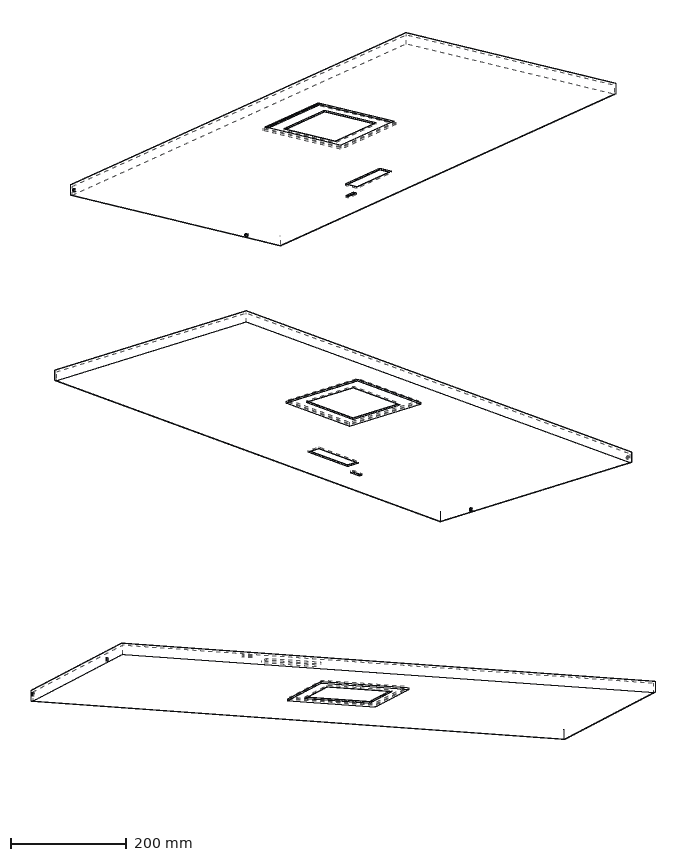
import cadquery as cq

LENGTH_X = 451.0
LENGTH_Y = 985.0
HEIGHT = 20.0

WALL = 3.0
EDGE_RADIUS = 2.0
INNER_RADIUS = 2.0

RECESS_X = (-130.0, 31.5)
RECESS_Y = (-50.5, 105.0)
RECESS_DEPTH = 3.0
OPENING_X = (-103.5, 6.5)
OPENING_Y = (-32.0, 87.0)

STEP_WIDTH = 3.0
STEP_DEPTH = 0.5

HANDLE_SLOT = ((157.0, 182.0), (-209.0, -108.5))
LOCK_SLOT = ((194.0, 200.0), (-258.5, -236.0))

END_HOLE_DIAMETER = 6.0
HINGE_HOLE = (-217.0, 11.0)
LATCH_HOLE = (151.5, 5.0)


def block(x_limits, y_limits, z_limits):
    """Axis-aligned box between the given (low, high) limits."""
    size_x, size_y, size_z = [high - low for low, high in (x_limits, y_limits, z_limits)]
    corner = (x_limits[0], y_limits[0], z_limits[0])
    return cq.Workplane("XY").box(size_x, size_y, size_z, centered=False).translate(corner)


def centred_block(size_x, size_y, height):
    """Box centred on X and Y, standing on Z = 0."""
    return cq.Workplane("XY").box(size_x, size_y, height, centered=(True, True, False))


def grown(limits, margin):
    """Limits widened by the margin at both ends."""
    low, high = limits
    return (low - margin, high + margin)


def make_shell():
    """Rounded panel hollowed from below, leaving the face and four side walls."""
    outside = centred_block(LENGTH_X, LENGTH_Y, HEIGHT).edges().fillet(EDGE_RADIUS)
    cavity = centred_block(LENGTH_X - 2 * WALL, LENGTH_Y - 2 * WALL, HEIGHT - WALL)
    cavity = cavity.faces(">Z").edges().fillet(INNER_RADIUS)
    return outside.cut(cavity)


def add_window(panel):
    """Sink the stepped recess into the face, with a wall-thick pan below it, and open its floor."""
    floor_z = HEIGHT - RECESS_DEPTH
    pan = block(grown(RECESS_X, WALL), grown(RECESS_Y, WALL), (floor_z - WALL, HEIGHT))
    deep_x = (RECESS_X[0] + STEP_WIDTH, RECESS_X[1])
    recess = block(deep_x, RECESS_Y, (floor_z, HEIGHT))
    step = block(RECESS_X, RECESS_Y, (HEIGHT - STEP_DEPTH, HEIGHT))
    opening = block(OPENING_X, OPENING_Y, (0, HEIGHT))
    return panel.union(pan).cut(recess).cut(step).cut(opening)


def cut_face_slots(panel):
    """Cut the handle and lock slots through the face."""
    for x_limits, y_limits in (HANDLE_SLOT, LOCK_SLOT):
        panel = panel.cut(block(x_limits, y_limits, (0, HEIGHT)))
    return panel


def cut_end_holes(panel):
    """Drill the hinge and latch holes through the -Y wall."""
    drills = (
        cq.Workplane("XZ", origin=(0, -LENGTH_Y / 2, 0))
        .pushPoints([HINGE_HOLE, LATCH_HOLE])
        .circle(END_HOLE_DIAMETER / 2)
        .extrude(-2 * WALL)
    )
    return panel.cut(drills)


result = cut_end_holes(cut_face_slots(add_window(make_shell())))